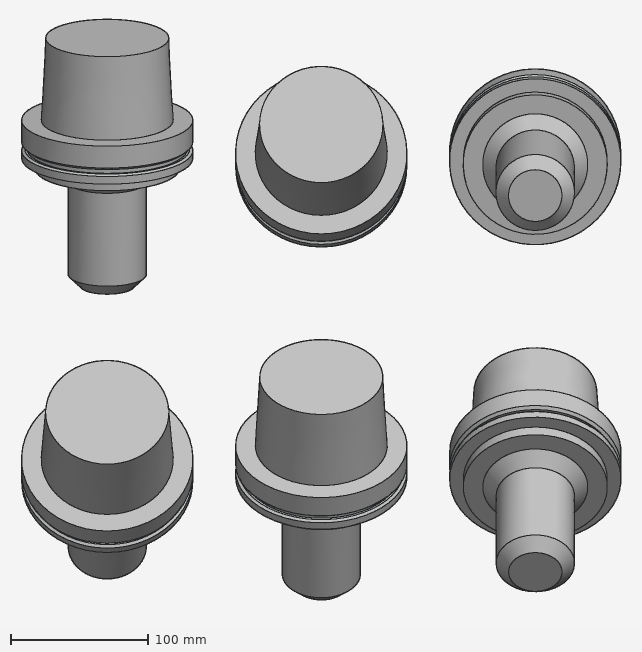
import cadquery as cq

shank_diameter = 57.2
tip_diameter = 39.0
tip_height = 9.1

neck_bottom = 80.2
collar_bottom = 89.9
neck_top_diameter = shank_diameter + 2 * (collar_bottom - neck_bottom)

collar_diameter = 105.0
flange_bottom = 98.0
flange_diameter = 125.0
flange_top = 127.1

groove_diameter = 117.0
groove_mouth_bottom = 104.0
groove_shoulder_diameter = 120.5
groove_floor_bottom = 105.0
groove_floor_top = 108.5
groove_mouth_top = 110.4

head_base_diameter = 96.3
head_top_diameter = 89.9
total_height = 190.0


def cylinder(diameter, bottom, top):
    """Solid cylinder on the Z axis between two heights."""
    return cq.Workplane("XY").workplane(offset=bottom).circle(diameter / 2).extrude(top - bottom)


def cone(bottom_diameter, top_diameter, bottom, top):
    """Solid truncated cone on the Z axis between two heights."""
    return (
        cq.Workplane("XY")
        .workplane(offset=bottom)
        .circle(bottom_diameter / 2)
        .workplane(offset=top - bottom)
        .circle(top_diameter / 2)
        .loft(ruled=True)
    )


def grooved_flange():
    """Flange with the groove as part of its revolved half profile."""
    outer_radius = flange_diameter / 2
    groove_radius = groove_diameter / 2
    shoulder_radius = groove_shoulder_diameter / 2
    profile = [
        (0, flange_bottom),
        (outer_radius, flange_bottom),
        (outer_radius, groove_mouth_bottom),
        (shoulder_radius, groove_floor_bottom),
        (groove_radius, groove_floor_bottom),
        (groove_radius, groove_floor_top),
        (shoulder_radius, groove_floor_top),
        (outer_radius, groove_mouth_top),
        (outer_radius, flange_top),
        (0, flange_top),
    ]
    return cq.Workplane("XZ").polyline(profile).close().revolve(360, (0, 0, 0), (0, 1, 0))


tip = cone(tip_diameter, shank_diameter, 0, tip_height)
shank = cylinder(shank_diameter, tip_height, neck_bottom)
neck = cone(shank_diameter, neck_top_diameter, neck_bottom, collar_bottom)
collar = cylinder(collar_diameter, collar_bottom, flange_bottom)
head = cone(head_base_diameter, head_top_diameter, flange_top, total_height)

result = tip.union(shank).union(neck).union(collar).union(grooved_flange()).union(head)